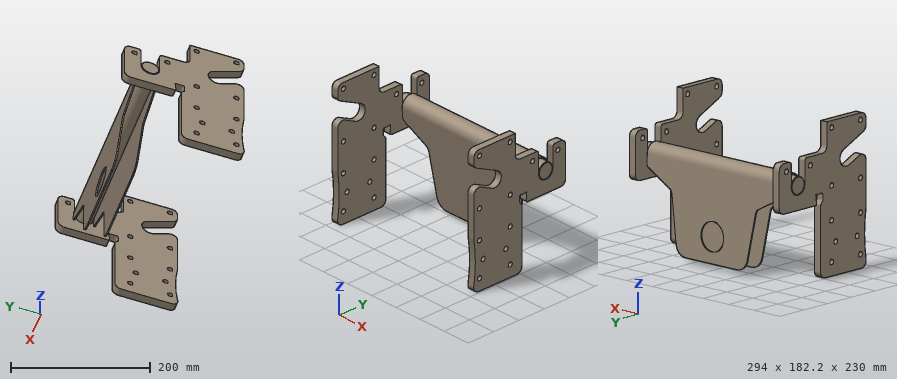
import cadquery as cq
import math


overall_width = 294.0
plate_thickness = 12.0
rod_end_chamfer = 1.0
sheet_width = 267.0

rod_diameter = 27.0
cradle_width = 28.2

plate_top = 83.0
plate_bottom = -147.0
plate_front = -142.5
arm_rear = 39.5
arm_top = 38.0
arm_bottom = -36.8
neck_rear = -60.3
lower_rear = -47.0
corner_radius = 10.0
cradle_radius = 4.5
notch_radius = 3.0

notch_rear_top = -37.6
notch_rear_bottom = -39.0
notch_front = -52.0
notch_top = -20.5
notch_step_top = -31.8
notch_step_bottom = -38.0

hollow_top = -59.5
hollow_middle = -98.5
hollow_deepest = -139.5
foot_front = -144.7

bay_y = -101.5
bay_z = 23.2
bay_width = 27.0
bay_angle = 25.0

hole_diameter = 8.0
arm_holes_y = (24.0, -26.0)
arm_holes_z = 25.3
wide_holes_y = (-70.3, -131.0)
wide_holes_z = (72.6, -13.0, -64.5, -126.2)
narrow_holes_y = (-78.8, -123.8)
narrow_holes_z = -97.5

sheet_thickness = 2.0
fold_radius = 16.5
sheet_tilt = 3.6
leg_length = 138.2
shoulder_drop = 18.2
waist_half_width = 82.6
waist_drop = 46.0
foot_half_width = 66.8
foot_radius = 20.0
access_hole_diameter = 44.5
access_hole_drop = 98.5


def fillet_corners(body, axis, corners):
    """Round the edges parallel to the axis that pass nearest to each (point, radius)."""
    for point, radius in corners:
        nearest = cq.selectors.NearestToPointSelector(point)
        body = body.edges("|" + axis).edges(nearest).fillet(radius)
    return body


def plate_blank():
    return (
        cq.Workplane("YZ")
        .moveTo(neck_rear, plate_top)
        .lineTo(neck_rear, arm_top)
        .lineTo(arm_rear, arm_top)
        .lineTo(arm_rear, arm_bottom)
        .lineTo(notch_rear_bottom, arm_bottom)
        .lineTo(notch_rear_top, notch_top)
        .lineTo(notch_front, notch_top)
        .lineTo(notch_front, notch_step_top)
        .lineTo(lower_rear, notch_step_bottom)
        .lineTo(lower_rear, plate_bottom)
        .lineTo(foot_front, plate_bottom)
        .threePointArc((hollow_deepest, hollow_middle), (plate_front, hollow_top))
        .lineTo(plate_front, plate_top)
        .close()
        .extrude(plate_thickness)
    )


def cradle_cutter():
    depth = arm_top
    bottom = cq.Workplane("YZ").circle(cradle_width / 2).extrude(plate_thickness)
    throat = cq.Workplane("YZ").center(0, depth / 2).rect(cradle_width, depth).extrude(plate_thickness)
    return bottom.union(throat)


def bay_cutter():
    length = 2 * (bay_y - plate_front)
    bottom = cq.Workplane("YZ").circle(bay_width / 2).extrude(plate_thickness)
    throat = cq.Workplane("YZ").center(-length / 2, 0).rect(length, bay_width).extrude(plate_thickness)
    cutter = bottom.union(throat).rotate((0, 0, 0), (1, 0, 0), -bay_angle)
    return cutter.translate((0, bay_y, bay_z))


def plate_corners():
    slope = math.radians(bay_angle)
    mouth_z = bay_z + (bay_y - plate_front) * math.tan(slope)
    mouth_half = bay_width / 2 / math.cos(slope)
    large = (
        (plate_front, plate_top),
        (plate_front, mouth_z + mouth_half),
        (plate_front, mouth_z - mouth_half),
        (foot_front, plate_bottom),
        (lower_rear, plate_bottom),
        (arm_rear, arm_bottom),
        (arm_rear, arm_top),
        (neck_rear, arm_top),
    )
    cradle = (
        (cradle_width / 2, arm_top),
        (-cradle_width / 2, arm_top),
    )
    notch = (
        (notch_rear_bottom, arm_bottom),
        (notch_front, notch_top),
        (notch_front, notch_step_top),
        (lower_rear, notch_step_bottom),
    )
    middle = plate_thickness / 2
    corners = [((middle, y, z), corner_radius) for y, z in large]
    corners += [((middle, y, z), cradle_radius) for y, z in cradle]
    corners += [((middle, y, z), notch_radius) for y, z in notch]
    return corners


def plate_holes():
    centres = [(y, arm_holes_z) for y in arm_holes_y]
    centres += [(y, z) for y in wide_holes_y for z in wide_holes_z]
    centres += [(y, narrow_holes_z) for y in narrow_holes_y]
    return cq.Workplane("YZ").pushPoints(centres).circle(hole_diameter / 2).extrude(plate_thickness)


def side_plate(inner_x):
    plate = plate_blank().cut(cradle_cutter()).cut(bay_cutter())
    plate = fillet_corners(plate, "X", plate_corners())
    return plate.cut(plate_holes()).translate((inner_x, 0, 0))


def cross_rod():
    rod = cq.Workplane("YZ").circle(rod_diameter / 2).extrude(overall_width / 2, both=True)
    return rod.faces("<X or >X").chamfer(rod_end_chamfer)


def fold_profile(radius):
    """Arch over the rod with two straight legs, solid inside."""
    return (
        cq.Workplane("YZ")
        .moveTo(-radius, -leg_length)
        .lineTo(-radius, 0)
        .threePointArc((0, radius), (radius, 0))
        .lineTo(radius, -leg_length)
        .close()
        .extrude(sheet_width / 2, both=True)
    )


def leg_outline():
    """Shape of the sheet square to its legs, as a block through both legs."""
    half = sheet_width / 2
    right_side = [
        (half, fold_radius),
        (half, -shoulder_drop),
        (waist_half_width, -waist_drop),
        (foot_half_width, -leg_length),
    ]
    left_side = [(-x, z) for x, z in reversed(right_side)]
    block = cq.Workplane("XZ").polyline(right_side + left_side).close().extrude(fold_radius, both=True)
    corners = []
    for side in (-1, 1):
        corners.append(((side * half, 0, -shoulder_drop), corner_radius))
        corners.append(((side * waist_half_width, 0, -waist_drop), corner_radius))
        corners.append(((side * foot_half_width, 0, -leg_length), foot_radius))
    return fillet_corners(block, "Y", corners)


def folded_sheet():
    sheet = fold_profile(fold_radius).cut(fold_profile(fold_radius - sheet_thickness))
    sheet = sheet.intersect(leg_outline())
    access_hole = (
        cq.Workplane("XZ")
        .center(0, -access_hole_drop)
        .circle(access_hole_diameter / 2)
        .extrude(-fold_radius)
    )
    return sheet.cut(access_hole).rotate((0, 0, 0), (1, 0, 0), sheet_tilt)


side_plates = [
    side_plate(inner_x)
    for inner_x in (-overall_width / 2, overall_width / 2 - plate_thickness)
]
rod = cross_rod()
sheet = folded_sheet()

result = cq.Compound.makeCompound([*(plate.val() for plate in side_plates), rod.val(), sheet.val()])